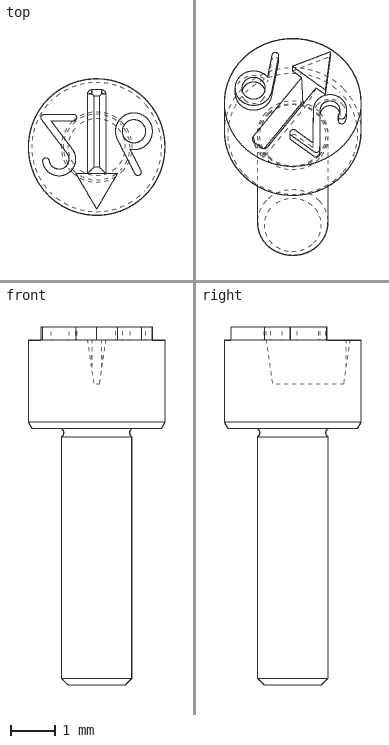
import cadquery as cq
import math

total_height = 8.11
head_diameter = 3.1
head_height = 2.0
head_chamfer_height = 0.15
head_chamfer_width = 0.08
shank_diameter = 1.6
tip_chamfer = 0.155
neck_height = 0.19
neck_depth = 0.05
relief_height = 0.3

head_top = total_height - relief_height
head_bottom = head_top - head_height
head_radius = head_diameter / 2
shank_radius = shank_diameter / 2

arrow_base_y = -0.6
arrow_tip_y = -1.4
arrow_half_base = 0.47
shaft_width = 0.41
shaft_end_y = 1.3
shaft_corner_radius = 0.1
shaft_wall_inset = 0.15
shaft_depth = 1.0

stroke_width = 0.155
stroke_radius = stroke_width / 2

nine_center = (0.84, 0.36)
nine_radius = 0.34
nine_tail_end = (0.93, -0.57)

two_bar_end = (-0.53, 0.665)
two_corner = (-1.185, 0.665)
two_bowl_center = (-0.85, -0.275)
two_bowl_radius = 0.3
two_hook_angle = 189.0


def make_pin_blank():
    """Revolved head and shank with an arc-shaped undercut below the head."""
    neck_bottom = head_bottom - neck_height
    return (
        cq.Workplane("XZ")
        .moveTo(0, 0)
        .lineTo(shank_radius - tip_chamfer, 0)
        .lineTo(shank_radius, tip_chamfer)
        .lineTo(shank_radius, neck_bottom)
        .threePointArc(
            (shank_radius - neck_depth, head_bottom - neck_height / 2),
            (shank_radius, head_bottom),
        )
        .lineTo(head_radius - head_chamfer_width, head_bottom)
        .lineTo(head_radius, head_bottom + head_chamfer_height)
        .lineTo(head_radius, head_top)
        .lineTo(0, head_top)
        .close()
        .revolve(360, (0, 0, 0), (0, 1, 0))
    )


def make_arrowhead():
    return (
        cq.Workplane("XY", origin=(0, 0, head_top))
        .polyline([(-arrow_half_base, arrow_base_y), (arrow_half_base, arrow_base_y), (0, arrow_tip_y)])
        .close()
        .extrude(relief_height)
    )


def make_arrow_shaft():
    """Pocket with drafted walls; the rounding of its two far corners runs out part way down."""
    half_width = shaft_width / 2
    straight_half = half_width - shaft_corner_radius
    straight_end = shaft_end_y - shaft_corner_radius
    diagonal = shaft_corner_radius * math.sqrt(0.5)
    taper = math.degrees(math.atan2(shaft_wall_inset, shaft_depth))
    return (
        cq.Workplane("XY", origin=(0, 0, head_top))
        .moveTo(-half_width, arrow_base_y)
        .lineTo(half_width, arrow_base_y)
        .lineTo(half_width, straight_end)
        .threePointArc((straight_half + diagonal, straight_end + diagonal), (straight_half, shaft_end_y))
        .lineTo(-straight_half, shaft_end_y)
        .threePointArc((-straight_half - diagonal, straight_end + diagonal), (-half_width, straight_end))
        .close()
        .extrude(-shaft_depth, taper=taper)
    )


def point_on_circle(center, radius, degrees):
    angle = math.radians(degrees)
    return (center[0] + radius * math.cos(angle), center[1] + radius * math.sin(angle))


def tangent_angle(point, center, radius, side):
    """Angle on the circle where a line from the point touches it; side is +1 or -1."""
    dx = point[0] - center[0]
    dy = point[1] - center[1]
    spread = math.acos(radius / math.hypot(dx, dy))
    return math.degrees(math.atan2(dy, dx) + side * spread)


def straight_stroke(start, end):
    dx = end[0] - start[0]
    dy = end[1] - start[1]
    length = math.hypot(dx, dy)
    return (
        cq.Workplane("XY", origin=(start[0], start[1], head_top))
        .transformed(rotate=(0, 0, math.degrees(math.atan2(dy, dx))))
        .center(length / 2, 0)
        .slot2D(length + stroke_width, stroke_width)
        .extrude(relief_height)
    )


def arc_stroke(center, radius, start_angle, end_angle):
    """Curved stroke from start_angle to end_angle with square ends."""
    middle_angle = (start_angle + end_angle) / 2
    outer = radius + stroke_radius
    inner = radius - stroke_radius
    return (
        cq.Workplane("XY", origin=(0, 0, head_top))
        .moveTo(*point_on_circle(center, outer, start_angle))
        .threePointArc(
            point_on_circle(center, outer, middle_angle), point_on_circle(center, outer, end_angle)
        )
        .lineTo(*point_on_circle(center, inner, end_angle))
        .threePointArc(
            point_on_circle(center, inner, middle_angle), point_on_circle(center, inner, start_angle)
        )
        .close()
        .extrude(relief_height)
    )


def round_end(point):
    return (
        cq.Workplane("XY", origin=(point[0], point[1], head_top))
        .circle(stroke_radius)
        .extrude(relief_height)
    )


def make_nine():
    ring = (
        cq.Workplane("XY", origin=(*nine_center, head_top))
        .circle(nine_radius + stroke_radius)
        .circle(nine_radius - stroke_radius)
        .extrude(relief_height)
    )
    tail_angle = tangent_angle(nine_tail_end, nine_center, nine_radius, -1)
    tail_start = point_on_circle(nine_center, nine_radius, tail_angle)
    return ring.union(straight_stroke(tail_start, nine_tail_end))


def make_two():
    """Mirrored digit: top bar, diagonal, and a bowl that hooks round to the left."""
    bowl_angle = tangent_angle(two_corner, two_bowl_center, two_bowl_radius, -1)
    bowl_start = point_on_circle(two_bowl_center, two_bowl_radius, bowl_angle)
    hook_end = point_on_circle(two_bowl_center, two_bowl_radius, two_hook_angle)
    return (
        straight_stroke(two_bar_end, two_corner)
        .union(straight_stroke(two_corner, bowl_start))
        .union(arc_stroke(two_bowl_center, two_bowl_radius, bowl_angle, two_hook_angle - 360))
        .union(round_end(hook_end))
    )


pin = make_pin_blank().union(make_arrowhead()).cut(make_arrow_shaft())
nine = make_nine()
two = make_two()

result = cq.Compound.makeCompound([pin.val(), nine.val(), two.val()])